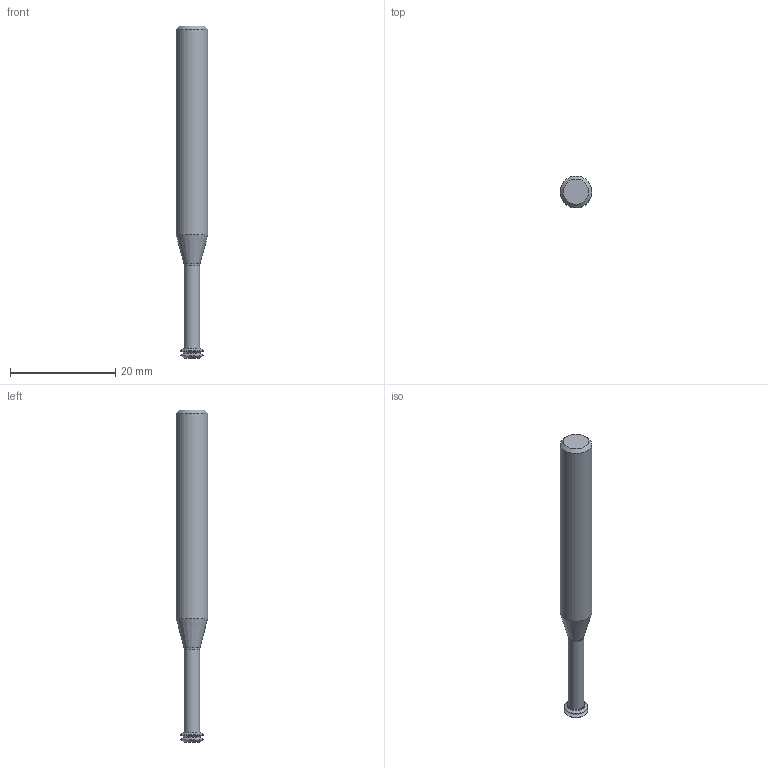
import cadquery as cq
import math

total_length = 63.0
shank_diameter = 6.0
neck_diameter = 2.97
chamfer = 0.6

taper_top_z = 23.38
taper_half_angle = math.radians(15)
blend_radius = 1.0

core_diameter = 3.36
tooth_diameter = 4.41
tip_end_diameter = neck_diameter
flank_angle = math.radians(30)
tooth_pitch = 0.9
tooth_tip_width = 0.09
tooth_count = 2
collar_length = 0.1

shank_radius = shank_diameter / 2
neck_radius = neck_diameter / 2
core_radius = core_diameter / 2
tooth_radius = tooth_diameter / 2
tip_end_radius = tip_end_diameter / 2


def flank_height(inner_radius):
    """Axial length of a tooth flank running from inner_radius out to the tooth tip."""
    return (tooth_radius - inner_radius) * math.tan(flank_angle)


def add_teeth(profile):
    """Draw the head outline upward, starting on the flat end of the tool."""
    tip_z = flank_height(tip_end_radius)
    root_rise = flank_height(core_radius)
    for index in range(tooth_count):
        low_z = tip_z + index * tooth_pitch
        high_z = low_z + tooth_tip_width
        if index > 0:
            profile = profile.lineTo(core_radius, low_z - root_rise)
        profile = profile.lineTo(tooth_radius, low_z)
        profile = profile.lineTo(tooth_radius, high_z)
        profile = profile.lineTo(core_radius, high_z + root_rise)
    collar_z = high_z + root_rise + collar_length
    profile = profile.lineTo(core_radius, collar_z)
    return profile.lineTo(neck_radius, collar_z)


def add_taper(profile):
    """Draw the neck, the tangent blend arc and the taper up to the shank."""
    center_r = neck_radius + blend_radius
    blend_top_r = center_r - blend_radius * math.cos(taper_half_angle)
    mid_angle = taper_half_angle / 2
    blend_mid_r = center_r - blend_radius * math.cos(mid_angle)
    taper_length = (shank_radius - blend_top_r) / math.tan(taper_half_angle)
    blend_top_z = taper_top_z - taper_length
    blend_z = blend_top_z - blend_radius * math.sin(taper_half_angle)
    blend_mid_z = blend_z + blend_radius * math.sin(mid_angle)
    profile = profile.lineTo(neck_radius, blend_z)
    profile = profile.threePointArc((blend_mid_r, blend_mid_z), (blend_top_r, blend_top_z))
    return profile.lineTo(shank_radius, taper_top_z)


def make_tool():
    """Revolve the half outline of the tool around Z."""
    profile = cq.Workplane("XZ").lineTo(tip_end_radius, 0)
    profile = add_teeth(profile)
    profile = add_taper(profile)
    profile = profile.lineTo(shank_radius, total_length - chamfer)
    profile = profile.lineTo(shank_radius - chamfer, total_length)
    profile = profile.lineTo(0, total_length).close()
    return profile.revolve(360, (0, 0, 0), (0, 1, 0))


result = make_tool()